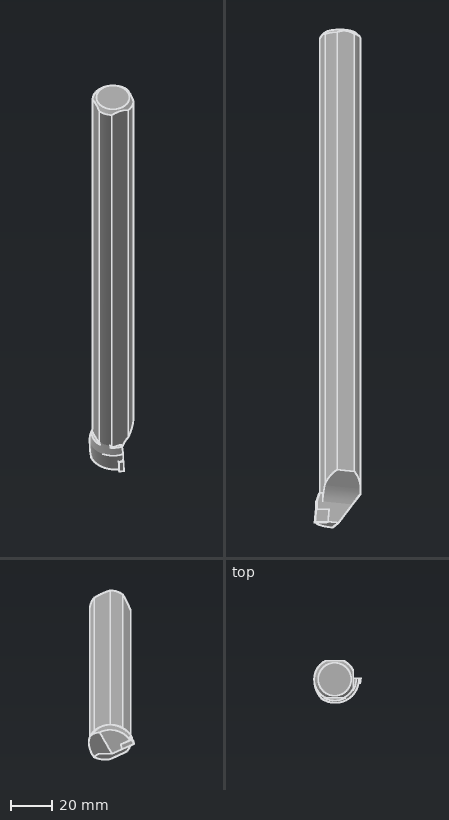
import cadquery as cq
import math

LENGTH = 251.2
SHANK_RADIUS = 10.0
FLAT_DISTANCE = 9.0
END_CHAMFER = 2.0
FLAT_END_Z = 15.0

HEAD_RADIUS = 11.5
HEAD_OFFSET_X = 0.3
HEAD_TOP_Z = 11.0
FLARE_TOP_Z = 16.3
HEAD_BOTTOM_Z = 0.8
BOTTOM_RISE = 1.3

RELIEF_TOP_Z = 16.0
RELIEF_BOTTOM_X = 0.8

RAKE_Y = 0.5
POCKET_TOP_Z = 24.9
POCKET_BEND_Y = 3.8
POCKET_BEND_Z = 18.0
POCKET_FLOOR_Z = 10.8
POCKET_ARC_Y = 1.3
POCKET_ARC_Z = 13.5

TIP_X = 12.8
INSERT_EDGE = 6.5
INSERT_THICKNESS = 2.39
LEAD_ANGLE = 5.0
CLEARANCE_ANGLE = 7.0

CUT = 4 * SHANK_RADIUS
OVERRUN = 2.5


def make_shank():
    return (
        cq.Workplane("XY")
        .circle(SHANK_RADIUS)
        .extrude(LENGTH)
        .faces(">Z")
        .chamfer(END_CHAMFER)
    )


def make_head():
    flare = (
        cq.Workplane("XY", origin=(0, 0, FLARE_TOP_Z))
        .circle(SHANK_RADIUS)
        .workplane(offset=HEAD_TOP_Z - FLARE_TOP_Z)
        .center(HEAD_OFFSET_X, 0)
        .circle(HEAD_RADIUS)
        .loft()
    )
    lower_head = (
        cq.Workplane("XY", origin=(HEAD_OFFSET_X, 0, 0))
        .circle(HEAD_RADIUS)
        .extrude(HEAD_TOP_Z)
    )
    tool_side = (
        cq.Workplane("XY", origin=(0, RAKE_Y - CUT / 2, 0))
        .rect(CUT, CUT)
        .extrude(FLARE_TOP_Z)
    )
    return flare.union(lower_head).intersect(tool_side)


def cut_flats(body, bottom_z):
    """Cut the flats facing -Y, +X and +Y, from bottom_z up to the end of the bar."""
    for angle in (-90, 0, 90):
        cutter = (
            cq.Workplane("XY", origin=(FLAT_DISTANCE + CUT / 2, 0, bottom_z))
            .rect(CUT, CUT)
            .extrude(LENGTH - bottom_z)
            .rotate((0, 0, 0), (0, 0, 1), angle)
        )
        body = body.cut(cutter)
    return body


def make_relief_cutter():
    top_z = RELIEF_TOP_Z + OVERRUN
    bottom_z = HEAD_BOTTOM_Z - OVERRUN
    slope = (RELIEF_BOTTOM_X + SHANK_RADIUS) / (RELIEF_TOP_Z - HEAD_BOTTOM_Z)
    profile = [
        (-SHANK_RADIUS - slope * OVERRUN, top_z),
        (RELIEF_BOTTOM_X + slope * OVERRUN, bottom_z),
        (-CUT, bottom_z),
        (-CUT, top_z),
    ]
    return cq.Workplane("XZ").polyline(profile).close().extrude(CUT / 2, both=True)


def make_bottom_cutter():
    rise = BOTTOM_RISE * CUT / HEAD_RADIUS
    profile = [
        (CUT, HEAD_BOTTOM_Z - rise),
        (-CUT, HEAD_BOTTOM_Z + rise),
        (-CUT, -CUT),
        (CUT, -CUT),
    ]
    return cq.Workplane("YZ").polyline(profile).close().extrude(CUT / 2, both=True)


def make_pocket_cutter():
    return (
        cq.Workplane("YZ", origin=(-CUT / 2, 0, 0))
        .moveTo(RAKE_Y, -OVERRUN)
        .lineTo(RAKE_Y, POCKET_FLOOR_Z)
        .threePointArc((POCKET_ARC_Y, POCKET_ARC_Z), (POCKET_BEND_Y, POCKET_BEND_Z))
        .lineTo(FLAT_DISTANCE, POCKET_TOP_Z)
        .lineTo(CUT, POCKET_TOP_Z)
        .lineTo(CUT, -OVERRUN)
        .close()
        .extrude(CUT)
    )


def make_insert():
    lean = INSERT_EDGE * math.sin(math.radians(LEAD_ANGLE))
    reach = INSERT_EDGE * math.cos(math.radians(LEAD_ANGLE))
    rhombus = [
        (TIP_X, 0),
        (TIP_X - lean, reach),
        (TIP_X - lean - reach, reach + lean),
        (TIP_X - reach, lean),
    ]
    return (
        cq.Workplane("XZ", origin=(0, RAKE_Y, 0))
        .polyline(rhombus)
        .close()
        .extrude(INSERT_THICKNESS, taper=CLEARANCE_ANGLE)
    )


insert = make_insert()

shank = cut_flats(make_shank(), 0)
head = cut_flats(make_head(), FLAT_END_Z)
bar = shank.union(head)
bar = bar.cut(make_relief_cutter())
bar = bar.cut(make_bottom_cutter())
bar = bar.cut(make_pocket_cutter())
bar = bar.cut(insert)

result = cq.Compound.makeCompound([bar.val(), insert.val()])